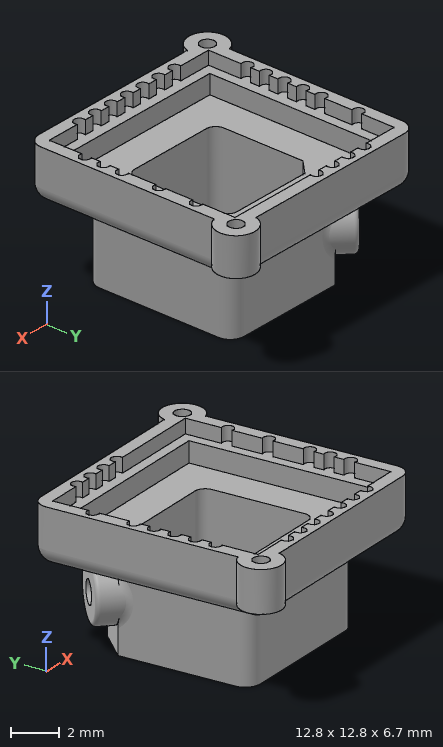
import cadquery as cq
import math

overall_width = 12.77
overall_height = 6.7

flange_width = 11.3
flange_thickness = 2.7
flange_radius = 0.77
flange_edge_fillet = 0.75
flange_bottom = overall_height - flange_thickness

ear_radius = 1.0
ear_height = 2.0
ear_hole_diameter = 0.75
ear_offset = overall_width / 2 - ear_radius

recess_width = 10.0
recess_depth = 0.7
pocket_width = 9.0
pocket_depth = 1.7
recess_floor = overall_height - recess_depth
pocket_floor = overall_height - pocket_depth

notch_pitch = 1.0
notch_diameter = 0.55
notch_setback = 0.1
notch_center_offset = recess_width / 2 + notch_setback
left_slots = (-3, -2, -1, 0, 1, 3)
right_slots = (-3, -2, -1, 1, 3)
front_slots = (-3, -2, -1, 0, 1, 2, 3)
back_slots = (-3, -2, -1, 0)

tower_width = 7.9
tower_wall = 1.2
tower_radius = 0.75
tower_chamfer = 1.44
opening_width = tower_width - 2 * tower_wall
opening_radius = 0.5
opening_chamfer = tower_chamfer - tower_wall * (2 - math.sqrt(2))

port_diameter = 2.9
port_bore_diameter = 1.1
port_length = 1.0
port_height = 2.5
port_rim_fillet = 0.2
port_root_fillet = 0.4
chamfer_distance = (tower_width - tower_chamfer) / math.sqrt(2)
port_start_distance = chamfer_distance - tower_wall
port_end_distance = chamfer_distance + port_length

outward = cq.Vector(-1, 1, 0).normalized()
port_side = cq.selectors.DirectionMinMaxSelector(outward, True)


def chamfered_square(width, radius, chamfer, height):
    """Square prism on Z = 0 with three rounded corners and a chamfer at (-X, +Y)."""
    block = cq.Workplane("XY").rect(width, width).extrude(height)
    block = block.edges("|Z and (>X or <Y)").fillet(radius)
    return block.edges("|Z").edges(port_side).chamfer(chamfer)


def square_pocket(width, floor):
    """Square cutter from the given floor up to the top face."""
    return cq.Workplane("XY").workplane(offset=floor).rect(width, width).extrude(overall_height - floor)


def make_flange():
    """Solid square flange with rounded corners and a rounded lower edge."""
    flange = cq.Workplane("XY").workplane(offset=flange_bottom).rect(flange_width, flange_width)
    flange = flange.extrude(flange_thickness).edges("|Z").fillet(flange_radius)
    return flange.faces("<Z").edges().fillet(flange_edge_fillet)


def ear_cylinders(radius, bottom):
    """Vertical cylinders at both ear centers, from the given bottom up to the top face."""
    centers = [(-ear_offset, -ear_offset), (ear_offset, ear_offset)]
    plane = cq.Workplane("XY").workplane(offset=bottom)
    return plane.pushPoints(centers).circle(radius).extrude(overall_height - bottom)


def port_cylinder(diameter, start, end):
    """Cylinder along the port axis between two distances from the tower axis."""
    origin = outward * start + cq.Vector(0, 0, port_height)
    plane = cq.Plane(origin=origin, xDir=(0, 0, 1), normal=outward)
    return cq.Workplane(plane).circle(diameter / 2).extrude(end - start)


def notch_cutters():
    """Vertical cylinders that cut the notches down to the recess floor."""
    near = -notch_center_offset
    far = notch_center_offset
    centers = [(near, slot * notch_pitch) for slot in left_slots]
    centers += [(far, slot * notch_pitch) for slot in right_slots]
    centers += [(slot * notch_pitch, near) for slot in front_slots]
    centers += [(slot * notch_pitch, far) for slot in back_slots]
    plane = cq.Workplane("XY").workplane(offset=recess_floor)
    return plane.pushPoints(centers).circle(notch_diameter / 2).extrude(recess_depth)


body = chamfered_square(tower_width, tower_radius, tower_chamfer, flange_bottom)
body = body.union(port_cylinder(port_diameter, port_start_distance, port_end_distance))
body = body.edges(port_side).fillet(port_rim_fillet)
body = body.edges("%ELLIPSE").fillet(port_root_fillet)

body = body.union(make_flange())
body = body.union(ear_cylinders(ear_radius, overall_height - ear_height))

body = body.cut(square_pocket(recess_width, recess_floor))
body = body.cut(square_pocket(pocket_width, pocket_floor))
body = body.cut(notch_cutters())
body = body.cut(chamfered_square(opening_width, opening_radius, opening_chamfer, overall_height))
body = body.cut(ear_cylinders(ear_hole_diameter / 2, 0))
result = body.cut(port_cylinder(port_bore_diameter, 0, port_end_distance))